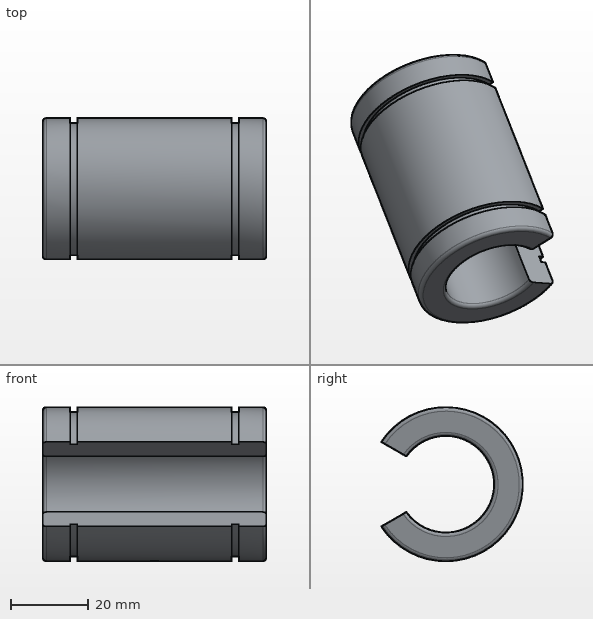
import cadquery as cq
import math

length = 58.0
outer_diameter = 40.0
bore_diameter = 25.0
end_rounding = 1.0

groove_width = 1.85
groove_floor_diameter = 37.5
groove_span = 43.7

opening_angle = 60.0
opening_apex_y = 2.25

locating_hole_diameter = 3.0
locating_hole_depth = 3.0


def rounded_tube():
    tube = (
        cq.Workplane("YZ")
        .circle(outer_diameter / 2)
        .circle(bore_diameter / 2)
        .extrude(length / 2, both=True)
    )
    return tube.faces("<X or >X").edges().fillet(end_rounding)


def groove_ring(center_x):
    return (
        cq.Workplane("YZ", origin=(center_x, 0, 0))
        .circle(outer_diameter / 2)
        .circle(groove_floor_diameter / 2)
        .extrude(groove_width / 2, both=True)
    )


def opening_wedge():
    mouth_y = -outer_diameter
    depth = opening_apex_y - mouth_y
    half_mouth = depth * math.tan(math.radians(opening_angle / 2))
    return (
        cq.Workplane("YZ")
        .moveTo(opening_apex_y, 0)
        .lineTo(mouth_y, half_mouth)
        .lineTo(mouth_y, -half_mouth)
        .close()
        .extrude(length / 2, both=True)
    )


def locating_hole():
    return (
        cq.Workplane("XY", origin=(0, 0, -outer_diameter / 2))
        .circle(locating_hole_diameter / 2)
        .extrude(locating_hole_depth)
    )


result = rounded_tube()
groove_center_x = (groove_span - groove_width) / 2
for side in (-1, 1):
    result = result.cut(groove_ring(side * groove_center_x))
result = result.cut(opening_wedge())
result = result.cut(locating_hole())